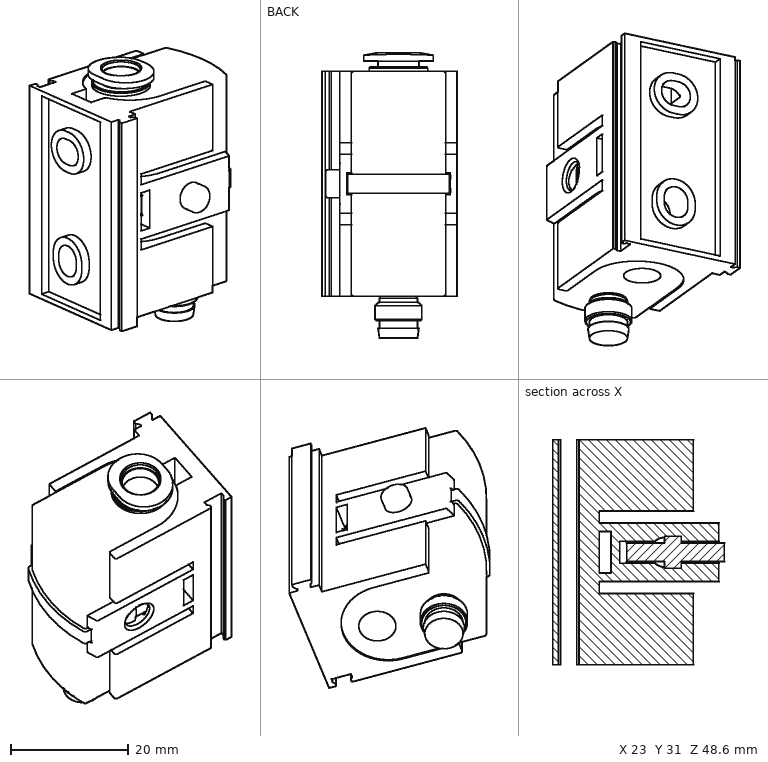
import cadquery as cq
import math


height = 38.35
mid_z = height / 2

sensor_half_width = 8.0
sensor_back_center_y = 13.95
sensor_front_y = 30.38
sensor_front_radius = 22.85
sensor_edge_radius = 0.45
strap_thickness = 0.6
strap_half_height = 1.6
strap_clearance = 0.25
pad_crown_radius = 7.8
pad_height = 0.4
pad_start_y = 19.05
pad_length = 2.9

fitting_y = 12.0
fitting_top_z = 41.5
collar_diameter = 10.0
collar_height = 0.75
collar_chamfer = 0.2
neck_diameter = 7.0
release_bottom_z = 40.05
release_cone_drop = 0.45
release_end_shift = 0.9
bore_diameter = 6.2
release_bore_diameter = 6.5
release_bore_depth = 1.05
bore_mouth_diameter = 7.0
bore_depth = 3.4

dome_radius = 6.8
dome_height = 0.8

connector_y = 23.95
connector_end_z = -7.1
plug_neck_bottom_z = -0.3
plug_neck_diameter = 6.2
stem_diameter = 6.5
nut_diameter = 8.0
nut_top_z = -1.0
nut_bottom_z = -4.15
nut_top_chamfer = 0.6
nut_bottom_chamfer = 0.25
tip_diameter = 7.0
tip_top_z = -5.45

side_x = 9.95
base_right_x = 11.45
base_step_y = 5.4
wall_end_y = 24.0
wall_outer_radius = 0.45
wall_inner_radius = 0.25

arm_half_height = 5.0
slot_half_height = 7.0
slot_end_y = 7.95
arm_tip_inner_y = 28.55
arm_tip_outer_y = 27.75
arm_tip_radius = 0.3
window_front_y = 9.9
window_half_height = 3.5

peg_y = 19.1
peg_diameter = 4.8
peg_length = 2.45
peg_end_radius = 0.4
peg_hole_diameter = 5.0
peg_hole_mouth_diameter = 6.05

rail_y = 2.7
rail_end_x = 13.02
rail_neck_half = 1.15
rail_head_half = 1.7
rail_neck_length = 0.35
rail_flare_length = 0.65
groove_depth = 1.65
groove_mouth_half = 1.55
groove_throat_half = 1.35
groove_mouth_chamfer = 0.15
groove_floor_half = 1.75
groove_lip_length = 0.55
groove_flare_length = 0.45

recess_left_x = -6.8
recess_right_x = 8.55
recess_rim = 0.9
recess_depth = 1.65
port_outer_diameter = 7.45
port_bore_diameter = 4.55
port_stretch = 1.0
upper_port_z = 29.2
lower_port_z = 9.15

opening_half_width = 2.55
opening_back_y = 3.1


def sensor_prism(offset, bottom_z, top_z):
    """Prism of the sensor outline, grown outward by offset: arched front and round back."""
    half_width = sensor_half_width + offset
    front_radius = sensor_front_radius + offset
    front_y = sensor_front_y + offset
    corner_y = front_y - front_radius + math.sqrt(front_radius**2 - half_width**2)
    return (
        cq.Workplane("XY")
        .workplane(offset=bottom_z)
        .moveTo(-half_width, corner_y)
        .threePointArc((0, front_y), (half_width, corner_y))
        .lineTo(half_width, sensor_back_center_y)
        .threePointArc((0, sensor_back_center_y - half_width), (-half_width, sensor_back_center_y))
        .close()
        .extrude(top_z - bottom_z)
    )


def revolved(profile, y):
    """Turned shape from (radius, z) points, on a vertical axis at X = 0 and the given Y."""
    return (
        cq.Workplane("XZ", origin=(0, y, 0))
        .polyline(profile)
        .close()
        .revolve(360, (0, 0, 0), (0, 1, 0))
    )


def box(x_range, y_range, z_range):
    """Box between the given limits."""
    sizes = [high - low for low, high in (x_range, y_range, z_range)]
    corner = (x_range[0], y_range[0], z_range[0])
    return cq.Workplane("XY", origin=corner).box(*sizes, centered=False)


def strap(clearance=0.0):
    """Band round the sensor at mid height, grown on all sides by clearance."""
    thickness = strap_thickness + clearance
    half_height = strap_half_height + clearance
    band = sensor_prism(thickness, mid_z - half_height, mid_z + half_height)
    return band.edges("|Z").edges(">Y").fillet(thickness)


def pad():
    """Crowned pad on the -X side of the sensor, facing the hole in the arm."""
    crown_x = -(sensor_half_width + strap_thickness + pad_height)
    cylinder = (
        cq.Workplane("XZ", origin=(crown_x + pad_crown_radius, pad_start_y, mid_z))
        .circle(pad_crown_radius)
        .extrude(-pad_length)
    )
    outside = box(
        (crown_x, -sensor_half_width),
        (pad_start_y, pad_start_y + pad_length),
        (mid_z - arm_half_height, mid_z + arm_half_height),
    )
    return cylinder.intersect(outside)


def push_in_fitting():
    """Collar, neck and oblong release ring on the top end."""
    collar_radius = collar_diameter / 2
    neck_radius = neck_diameter / 2
    collar_top_z = height + collar_height
    base = revolved(
        [
            (0, height),
            (collar_radius, height),
            (collar_radius, collar_top_z - collar_chamfer),
            (collar_radius - collar_chamfer, collar_top_z),
            (neck_radius, collar_top_z),
            (neck_radius, release_bottom_z),
            (0, release_bottom_z),
        ],
        fitting_y,
    )
    reach = collar_radius + release_end_shift
    cone = revolved(
        [
            (0, release_bottom_z),
            (reach, release_bottom_z),
            (reach, fitting_top_z - release_cone_drop),
            (bore_mouth_diameter / 2, fitting_top_z),
            (0, fitting_top_z),
        ],
        fitting_y,
    )
    oblong = (
        cq.Workplane("XY", origin=(0, fitting_y, release_bottom_z))
        .slot2D(2 * reach, collar_diameter)
        .extrude(fitting_top_z - release_bottom_z)
    )
    return base.union(cone.intersect(oblong))


def fitting_bore():
    """Blind stepped bore with a chamfered mouth."""
    bore_radius = bore_diameter / 2
    release_bore_radius = release_bore_diameter / 2
    mouth_radius = bore_mouth_diameter / 2
    floor_z = fitting_top_z - bore_depth
    step_z = fitting_top_z - release_bore_depth
    return revolved(
        [
            (0, floor_z),
            (bore_radius, floor_z),
            (bore_radius, step_z),
            (release_bore_radius, step_z),
            (release_bore_radius, fitting_top_z - (mouth_radius - release_bore_radius)),
            (mouth_radius, fitting_top_z),
            (0, fitting_top_z),
        ],
        fitting_y,
    )


def bottom_dome():
    """Shallow spherical cap below the bottom end."""
    center_z = dome_radius - dome_height
    sphere = cq.Workplane("XY", origin=(0, fitting_y, center_z)).sphere(dome_radius)
    below = box(
        (-dome_radius, dome_radius),
        (fitting_y - dome_radius, fitting_y + dome_radius),
        (-dome_height, 0),
    )
    return sphere.intersect(below)


def connector():
    """Round plug with a chamfered nut and a tapered tip."""
    plug_neck_radius = plug_neck_diameter / 2
    stem_radius = stem_diameter / 2
    nut_radius = nut_diameter / 2
    return revolved(
        [
            (0, 0),
            (plug_neck_radius, 0),
            (plug_neck_radius, plug_neck_bottom_z),
            (stem_radius, plug_neck_bottom_z),
            (stem_radius, nut_top_z),
            (nut_radius - nut_top_chamfer, nut_top_z),
            (nut_radius, nut_top_z - nut_top_chamfer),
            (nut_radius, nut_bottom_z + nut_bottom_chamfer),
            (nut_radius - nut_bottom_chamfer, nut_bottom_z),
            (stem_radius, nut_bottom_z),
            (stem_radius, tip_top_z),
            (tip_diameter / 2, tip_top_z),
            (stem_radius, connector_end_z),
            (0, connector_end_z),
        ],
        connector_y,
    )


def make_sensor():
    """Sensor housing with its strap, pad, fitting, dome and connector."""
    housing = sensor_prism(0, 0, height).edges("|Z").edges(">Y").fillet(sensor_edge_radius)
    housing = housing.faces("<Z or >Z").edges().fillet(sensor_edge_radius)
    housing = housing.union(strap()).union(pad())
    housing = housing.union(push_in_fitting()).cut(fitting_bore())
    return housing.union(bottom_dome()).union(connector())


def bracket_blank():
    """Block with the dovetail rail on +X, the matching groove on -X and slanted arm tips."""
    rail_neck_x = base_right_x + rail_neck_length
    rail_head_x = rail_neck_x + rail_flare_length
    groove_throat_x = -side_x + groove_mouth_chamfer
    groove_lip_x = -side_x + groove_lip_length
    groove_flare_x = groove_lip_x + groove_flare_length
    groove_floor_x = -side_x + groove_depth
    outline = [
        (-side_x, 0),
        (base_right_x, 0),
        (base_right_x, rail_y - rail_neck_half),
        (rail_neck_x, rail_y - rail_neck_half),
        (rail_head_x, rail_y - rail_head_half),
        (rail_end_x, rail_y - rail_head_half),
        (rail_end_x, rail_y + rail_head_half),
        (rail_head_x, rail_y + rail_head_half),
        (rail_neck_x, rail_y + rail_neck_half),
        (base_right_x, rail_y + rail_neck_half),
        (base_right_x, base_step_y),
        (side_x, base_step_y),
        (side_x, arm_tip_outer_y),
        (sensor_half_width, arm_tip_inner_y),
        (-sensor_half_width, arm_tip_inner_y),
        (-side_x, arm_tip_outer_y),
        (-side_x, rail_y + groove_mouth_half),
        (groove_throat_x, rail_y + groove_throat_half),
        (groove_lip_x, rail_y + groove_throat_half),
        (groove_flare_x, rail_y + groove_floor_half),
        (groove_floor_x, rail_y + groove_floor_half),
        (groove_floor_x, rail_y - groove_floor_half),
        (groove_flare_x, rail_y - groove_floor_half),
        (groove_lip_x, rail_y - groove_throat_half),
        (groove_throat_x, rail_y - groove_throat_half),
        (-side_x, rail_y - groove_mouth_half),
    ]
    blank = cq.Workplane("XY").polyline(outline).close().extrude(height)
    tip_corners = cq.selectors.BoxSelector(
        (-side_x - 0.5, arm_tip_outer_y - 0.25, 0), (side_x + 0.5, arm_tip_outer_y + 0.25, height)
    )
    return blank.edges("|Z").edges(tip_corners).fillet(arm_tip_radius)


def side_cutouts():
    """Cuts that shorten the side walls, free the arms and open a window in each arm."""
    across = (-side_x, side_x)
    beyond_walls = (wall_end_y, sensor_front_y)
    slots_y = (slot_end_y, sensor_front_y)
    arm_top_z = mid_z + arm_half_height
    arm_bottom_z = mid_z - arm_half_height
    cuts = box(across, beyond_walls, (arm_top_z, height))
    cuts = cuts.union(box(across, beyond_walls, (0, arm_bottom_z)))
    cuts = cuts.union(box(across, slots_y, (arm_top_z, mid_z + slot_half_height)))
    cuts = cuts.union(box(across, slots_y, (mid_z - slot_half_height, arm_bottom_z)))
    window_z = (mid_z - window_half_height, mid_z + window_half_height)
    return cuts.union(box(across, (slot_end_y, window_front_y), window_z))


def round_wall_ends(bracket):
    """Round the ends of the side walls: the -X outer edge and both inner edges."""
    def end_edges(x):
        corner = 0.05
        return cq.selectors.BoxSelector(
            (x - corner, wall_end_y - corner, 0), (x + corner, wall_end_y + corner, height)
        )

    bracket = bracket.edges("|Z").edges(end_edges(-side_x)).fillet(wall_outer_radius)
    inner = end_edges(-sensor_half_width) + end_edges(sensor_half_width)
    return bracket.edges("|Z").edges(inner).fillet(wall_inner_radius)


def oblong_bar(z, angle, diameter, length):
    """Oblong bar reaching forward from the bracket's back; angle turns its long side."""
    return (
        cq.Workplane("XZ", origin=(0, 0, z))
        .slot2D(diameter + port_stretch, diameter, angle)
        .extrude(-length)
    )


def peg_hole():
    """Countersunk hole through the -X arm, up to the sensor's space."""
    mouth_radius = peg_hole_mouth_diameter / 2
    hole_radius = peg_hole_diameter / 2
    chamfer = mouth_radius - hole_radius
    depth = side_x - sensor_half_width
    return (
        cq.Workplane("XY", origin=(-side_x, peg_y, mid_z))
        .polyline([(0, 0), (0, mouth_radius), (chamfer, hole_radius), (depth, hole_radius), (depth, 0)])
        .close()
        .revolve(360, (0, 0, 0), (1, 0, 0))
    )


def peg():
    """Round joining peg on the +X wall."""
    return (
        cq.Workplane("YZ", origin=(side_x, peg_y, mid_z))
        .circle(peg_diameter / 2)
        .extrude(peg_length)
        .faces(">X")
        .edges()
        .fillet(peg_end_radius)
    )


def make_bracket():
    """Clip-on bracket that holds the sensor between two side arms."""
    sensor_space = sensor_prism(0, 0, height)
    bracket = bracket_blank().cut(sensor_space).cut(side_cutouts())
    bracket = round_wall_ends(bracket)
    recess = box((recess_left_x, recess_right_x), (0, recess_depth), (recess_rim, height - recess_rim))
    opening = box(
        (-opening_half_width, opening_half_width),
        (opening_back_y, sensor_back_center_y),
        (upper_port_z, height),
    )
    bracket = bracket.cut(recess).cut(opening)
    for z, angle in ((upper_port_z, 0), (lower_port_z, 90)):
        bracket = bracket.union(oblong_bar(z, angle, port_outer_diameter, recess_depth))
        bracket = bracket.cut(oblong_bar(z, angle, port_bore_diameter, sensor_back_center_y))
    bracket = bracket.cut(peg_hole()).union(peg())
    return bracket.cut(strap(strap_clearance)).cut(pad())


sensor = make_sensor()
bracket = make_bracket()

result = cq.Compound.makeCompound([sensor.solids().val(), bracket.solids().val()])